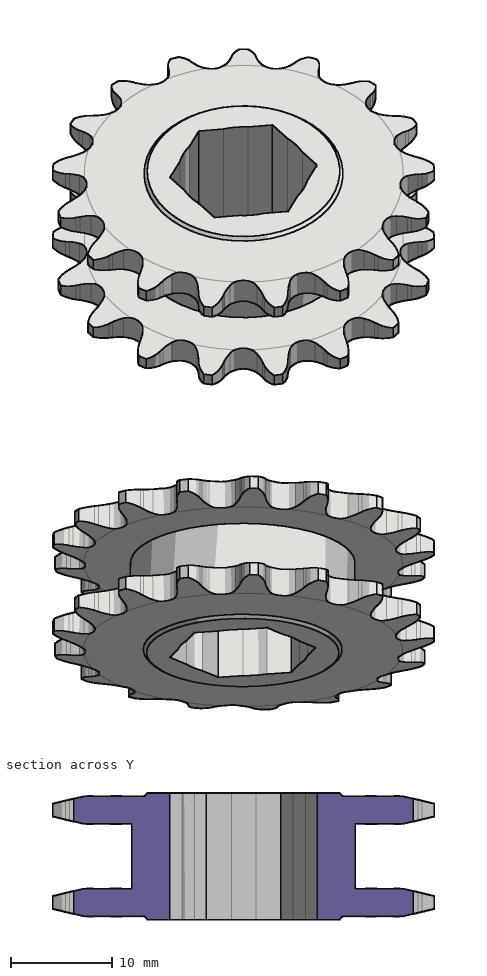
import cadquery as cq
import math


tooth_count = 17
pitch = 6.35
roller_dia = 3.302
seating_clearance = 0.0762
seating_radius = (1.005 * roller_dia + seating_clearance) / 2
pitch_radius = pitch / 2 / math.sin(math.pi / tooth_count)
tip_radius = 18.95

plate_thickness = 2.794
plate_gap = 6.35
taper_start_radius = 15.8
taper_angle = 13.5

hub_dia = 22.23
boss_height = 0.3175
boss_top_dia = 19.05
boss_base_dia = boss_top_dia + 2 * boss_height

hex_across_flats = 12.7
hex_side = hex_across_flats / math.sqrt(3)
relief_radius = math.hypot(hex_across_flats / 2, hex_side / 6)

plate_offset = (plate_gap + plate_thickness) / 2
body_height = plate_gap + 2 * plate_thickness
total_height = body_height + 2 * boss_height


def polar(center, radius, degrees):
    """Point at a distance and direction from a centre."""
    angle = math.radians(degrees)
    return (center[0] + radius * math.cos(angle), center[1] + radius * math.sin(angle))


def mirrored(point):
    """Point reflected across the Y axis."""
    return (-point[0], point[1])


def tooth_gap():
    """Cutter for the gap centred on +Y, with the standard roller chain tooth form."""
    seat_angle = 35 + 60 / tooth_count
    working_angle = 18 - 56 / tooth_count
    flat_angle = 17 - 64 / tooth_count
    working_offset = 0.8 * roller_dia
    topping_offset = 1.4 * roller_dia
    half_step = 180 / tooth_count

    roller_center = (0, pitch_radius)
    seat_bottom = (0, pitch_radius - seating_radius)

    working_radius = working_offset + seating_radius
    working_center = polar(roller_center, working_offset, 180 - seat_angle)
    seat_end = polar(roller_center, seating_radius, -seat_angle)
    working_mid = polar(working_center, working_radius, -seat_angle + working_angle / 2)
    working_end = polar(working_center, working_radius, -seat_angle + working_angle)

    flat_length = (
        topping_offset * math.sin(math.radians(flat_angle))
        - working_offset * math.sin(math.radians(working_angle))
    )
    flat_end = polar(working_end, flat_length, 90 - seat_angle + working_angle)
    topping_center = polar(roller_center, topping_offset, -half_step)
    topping_radius = math.dist(topping_center, flat_end)
    start_angle = math.degrees(
        math.atan2(flat_end[1] - topping_center[1], flat_end[0] - topping_center[0])
    ) % 360
    point_angle = 180 - half_step - math.degrees(
        math.acos((topping_offset - pitch / 2) / topping_radius)
    )
    topping_mid = polar(topping_center, topping_radius, (start_angle + point_angle) / 2)
    tooth_point = polar(topping_center, topping_radius, point_angle)

    outer_apex = (0, 1.2 * tip_radius)
    return (
        cq.Workplane("XY")
        .workplane(offset=-plate_thickness)
        .moveTo(*mirrored(seat_end))
        .threePointArc(seat_bottom, seat_end)
        .threePointArc(working_mid, working_end)
        .lineTo(*flat_end)
        .threePointArc(topping_mid, tooth_point)
        .lineTo(*outer_apex)
        .lineTo(*mirrored(tooth_point))
        .threePointArc(mirrored(topping_mid), mirrored(flat_end))
        .lineTo(*mirrored(working_end))
        .threePointArc(mirrored(working_mid), mirrored(seat_end))
        .close()
        .extrude(2 * plate_thickness)
    )


def toothed_plate():
    """One plate centred on Z = 0, its rim tapered on both faces."""
    half_thickness = plate_thickness / 2
    taper_depth = (tip_radius - taper_start_radius) * math.tan(math.radians(taper_angle))
    half_tip = half_thickness - taper_depth
    plate = (
        cq.Workplane("XZ")
        .moveTo(0, -half_thickness)
        .lineTo(taper_start_radius, -half_thickness)
        .lineTo(tip_radius, -half_tip)
        .lineTo(tip_radius, half_tip)
        .lineTo(taper_start_radius, half_thickness)
        .lineTo(0, half_thickness)
        .close()
        .revolve(360, (0, 0), (0, 1))
    )
    gap = tooth_gap()
    for index in range(tooth_count):
        plate = plate.cut(gap.rotate((0, 0, 0), (0, 0, 1), index * 360 / tooth_count))
    return plate


def hub():
    """Plain cylinder between the plates with a low conical boss on each end."""
    half_body = body_height / 2
    half_total = total_height / 2
    return (
        cq.Workplane("XZ")
        .moveTo(0, -half_total)
        .lineTo(boss_top_dia / 2, -half_total)
        .lineTo(boss_base_dia / 2, -half_body)
        .lineTo(hub_dia / 2, -half_body)
        .lineTo(hub_dia / 2, half_body)
        .lineTo(boss_base_dia / 2, half_body)
        .lineTo(boss_top_dia / 2, half_total)
        .lineTo(0, half_total)
        .close()
        .revolve(360, (0, 0), (0, 1))
    )


def bore():
    """Through cutter: hexagon with corners on X, joined with the round relief."""
    base = cq.Workplane("XY").workplane(offset=-total_height / 2)
    hexagon = base.polygon(6, 2 * hex_side).extrude(total_height)
    relief = base.circle(relief_radius).extrude(total_height)
    return hexagon.union(relief)


plate = toothed_plate()
result = hub()
for direction in (-1, 1):
    result = result.union(plate.translate((0, 0, direction * plate_offset)))
result = result.cut(bore())